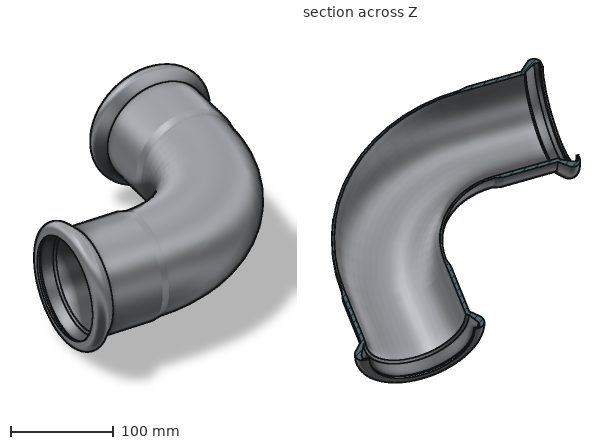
import cadquery as cq
import math

overall_length = 281.5
bead_diameter = 133.0
bead_radius = bead_diameter / 2

mouth_flat_diameter = 117.5
bead_cone_depth = 22.0
socket_diameter = 112.0
socket_depth = 77.7
bend_start_depth = 86.0
bend_diameter = 108.0

mouth_bore_diameter = 108.0
bore_diameter = 102.7
lip_depth = 2.3
seal_seat_start_depth = 7.0
seal_seat_start_diameter = 120.0
bore_step_start_depth = 17.7
bore_step_end_depth = 20.0

axis_offset = overall_length - bead_radius
bend_radius = axis_offset - bend_start_depth


def revolve_about_x(profile):
    return profile.close().revolve(360, (0, 0, 0), (1, 0, 0))


def socket_body():
    """Solid socket along +X, with its mouth face at X = 0."""
    bead_round = bead_radius - mouth_flat_diameter / 2
    diagonal_reach = bead_round * math.sqrt(0.5)
    bead_center_radius = bead_radius - bead_round
    bead_peak = (bead_round, bead_radius)
    bead_end = (bead_round + diagonal_reach, bead_center_radius + diagonal_reach)
    profile = (
        cq.Workplane("XY")
        .lineTo(0, mouth_flat_diameter / 2)
        .threePointArc(bead_peak, bead_end)
        .lineTo(bead_cone_depth, socket_diameter / 2)
        .lineTo(socket_depth, socket_diameter / 2)
        .lineTo(bend_start_depth, bend_diameter / 2)
        .lineTo(bend_start_depth, 0)
    )
    return revolve_about_x(profile)


def socket_bore():
    """Bore of one socket: lip, seal groove with tapered seat, and step, with the mouth at X = 0."""
    profile = (
        cq.Workplane("XY")
        .lineTo(0, mouth_bore_diameter / 2)
        .lineTo(lip_depth, mouth_bore_diameter / 2)
        .lineTo(lip_depth, seal_seat_start_diameter / 2)
        .lineTo(seal_seat_start_depth, seal_seat_start_diameter / 2)
        .lineTo(bore_step_start_depth, mouth_bore_diameter / 2)
        .lineTo(bore_step_end_depth, bore_diameter / 2)
        .lineTo(bend_start_depth, bore_diameter / 2)
        .lineTo(bend_start_depth, 0)
    )
    return revolve_about_x(profile)


def quarter_bend(diameter):
    """Quarter torus from the end of the -X socket to the end of the -Y socket."""
    return (
        cq.Workplane("YZ", origin=(bend_start_depth, axis_offset, 0))
        .circle(diameter / 2)
        .revolve(90, (-bend_radius, 2.8, 0), (-bend_radius, 0, 0))
    )


def joined_elbow(socket, bend):
    """Join a bend to one socket opening toward -X and one toward -Y."""
    side_socket = socket.translate((0, axis_offset, 0))
    front_socket = socket.rotate((0, 0, 0), (0, 0, 1), 90).translate((axis_offset, 0, 0))
    return bend.union(side_socket).union(front_socket)


outside = joined_elbow(socket_body(), quarter_bend(bend_diameter))
inside = joined_elbow(socket_bore(), quarter_bend(bore_diameter))
result = outside.cut(inside)